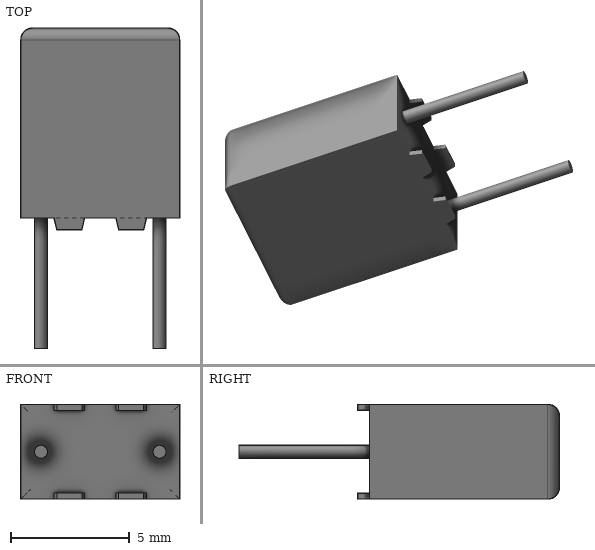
import cadquery as cq

overall_length = 13.5
case_width = 6.7
case_height = 4.0
case_length = 8.0
end_round = 0.5

tab_length = 0.5
tab_thickness = 0.25
tab_base_width = 1.3
tab_tip_width = 1.05
tab_pitch = 2.6

lead_diameter = 0.55
lead_pitch = 5.0
lead_length = overall_length - case_length


def make_tab(center_x, bottom_z):
    """Flat tapered tab that stands out of the lead face toward -Y."""
    half_base = tab_base_width / 2
    half_tip = tab_tip_width / 2
    return (
        cq.Workplane("XY")
        .polyline([(-half_base, 0), (half_base, 0), (half_tip, -tab_length), (-half_tip, -tab_length)])
        .close()
        .extrude(tab_thickness)
        .translate((center_x, 0, bottom_z))
    )


def make_case():
    """Block with its lead face at Y = 0, a rounded far end and four standoff tabs."""
    case = (
        cq.Workplane("XY")
        .box(case_width, case_length, case_height, centered=(True, False, True))
        .faces(">Y")
        .edges()
        .fillet(end_round)
    )
    for center_x in (-tab_pitch / 2, tab_pitch / 2):
        for bottom_z in (-case_height / 2, case_height / 2 - tab_thickness):
            case = case.union(make_tab(center_x, bottom_z))
    return case


def make_lead(center_x):
    """Straight round lead that runs from the lead face toward -Y."""
    return (
        cq.Workplane("XZ")
        .center(center_x, 0)
        .circle(lead_diameter / 2)
        .extrude(lead_length)
    )


case = make_case()
leads = [make_lead(center_x) for center_x in (-lead_pitch / 2, lead_pitch / 2)]

result = cq.Compound.makeCompound([case.val(), *[lead.val() for lead in leads]])